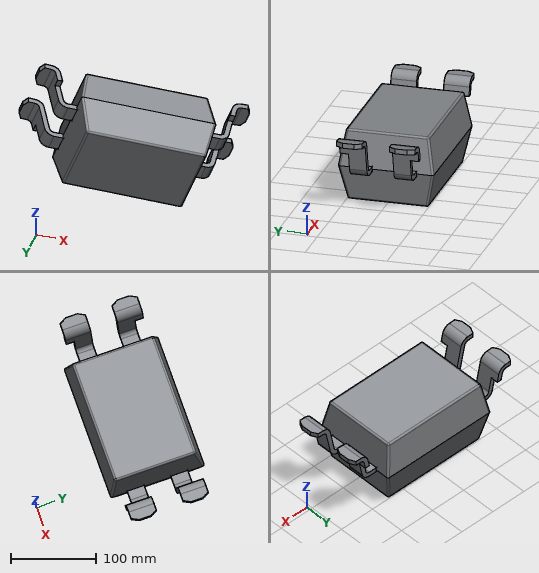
import cadquery as cq
import math

housing_length = 165.5
housing_width = 116.9
upper_height = 44.5
lower_height = 44.2
upper_draft = 10
lower_draft = 12
edge_radius = 2.5

lead_span = 258.5
lead_thickness = 6.2
lead_top = 48.3
foot_tilt = 3
leg_tilt = 12
leg_root_x = 100.5
inner_bend_radius = 5.7
outer_bend_radius = inner_bend_radius + lead_thickness

lead_inner_y = 16.5
shank_width = 21.2
foot_width = 31.5
shoulder_z = 27.1
tip_chamfer_x = 4.5
tip_chamfer_y = 8.5


def tapered_half(height, draft, direction):
    """Half of the housing, narrowing away from the parting plane."""
    inset = 2 * height * math.tan(math.radians(draft))
    return (
        cq.Workplane("XY")
        .rect(housing_length, housing_width)
        .workplane(offset=direction * height)
        .rect(housing_length - inset, housing_width - inset)
        .loft(combine=True)
        .edges("not(|X or |Y)")
        .fillet(edge_radius)
        .faces(">Z" if direction > 0 else "<Z")
        .edges()
        .fillet(edge_radius)
    )


def lead_side_points(side):
    """Corners of one long face at the +X end: side is 1 for the top face, -1 for the bottom."""
    offset = side * lead_thickness / 2
    leg_slope = math.tan(math.radians(leg_tilt))
    foot_slope = math.tan(math.radians(foot_tilt))
    tip_x = lead_span / 2
    tip_z = lead_top + (side - 1) / 2 * lead_thickness / math.cos(math.radians(foot_tilt))
    leg_x = leg_root_x - offset / math.cos(math.radians(leg_tilt))
    root = (leg_x + offset * leg_slope, offset)
    knee_z = (tip_z - foot_slope * (tip_x - leg_x)) / (1 - foot_slope * leg_slope)
    knee = (leg_x + knee_z * leg_slope, knee_z)
    return [root, knee, (tip_x, tip_z)]


def fillet_bend(strip, corner, radius):
    """Round the matching bend edges at both ends of a lead."""
    for x in (-corner[0], corner[0]):
        edge = cq.selectors.NearestToPointSelector((x, lead_inner_y + foot_width / 2, corner[1]))
        strip = strip.edges("|Y").edges(edge).fillet(radius)
    return strip


def make_lead():
    """Lead on the +Y side, with a foot at each end."""
    top = lead_side_points(1)
    bottom = lead_side_points(-1)
    half_outline = top + bottom[::-1]
    mirrored_outline = [(-x, z) for x, z in half_outline[::-1]]
    strip = (
        cq.Workplane("XZ", origin=(0, lead_inner_y, 0))
        .polyline(half_outline + mirrored_outline)
        .close()
        .extrude(-foot_width)
    )
    strip = fillet_bend(strip, top[0], inner_bend_radius)
    strip = fillet_bend(strip, bottom[0], outer_bend_radius)
    strip = fillet_bend(strip, top[1], outer_bend_radius)
    strip = fillet_bend(strip, bottom[1], inner_bend_radius)

    relief = cq.Workplane("XY").box(
        lead_span, foot_width - shank_width, shoulder_z + lead_thickness, centered=(True, False, False)
    ).translate((0, lead_inner_y + shank_width, -lead_thickness))

    foot_plan = (
        cq.Workplane("XY", origin=(0, lead_inner_y + foot_width / 2, -lead_thickness))
        .polyline([
            (-lead_span / 2, foot_width / 2 - tip_chamfer_y),
            (-lead_span / 2 + tip_chamfer_x, foot_width / 2),
            (lead_span / 2 - tip_chamfer_x, foot_width / 2),
            (lead_span / 2, foot_width / 2 - tip_chamfer_y),
            (lead_span / 2, tip_chamfer_y - foot_width / 2),
            (lead_span / 2 - tip_chamfer_x, -foot_width / 2),
            (-lead_span / 2 + tip_chamfer_x, -foot_width / 2),
            (-lead_span / 2, tip_chamfer_y - foot_width / 2),
        ])
        .close()
        .extrude(lead_top + 2 * lead_thickness)
    )
    return strip.cut(relief).intersect(foot_plan)


def make_housing(leads):
    """Housing with a matching passage for each lead."""
    upper = tapered_half(upper_height, upper_draft, 1)
    lower = tapered_half(lower_height, lower_draft, -1)
    housing = upper.union(lower)
    for lead in leads:
        housing = housing.cut(lead)
    return housing


first_lead = make_lead()
leads = []
for turn in (0, 180):
    leads.append(first_lead.rotate((0, 0, 0), (0, 0, 1), turn))
housing = make_housing(leads)

result = cq.Compound.makeCompound([housing.val(), *[lead.val() for lead in leads]])